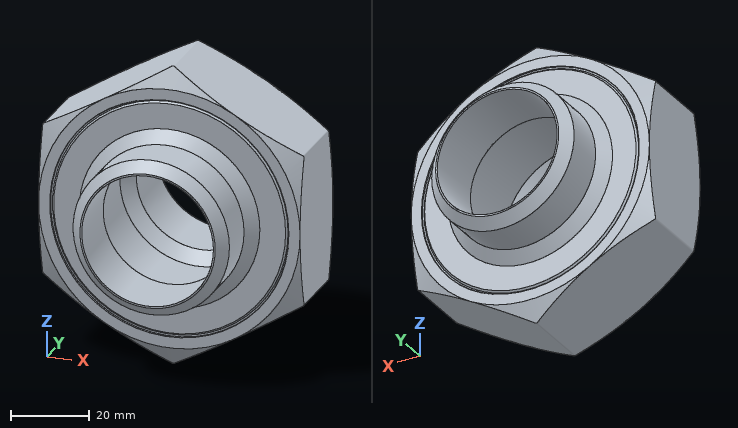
import cadquery as cq
import math


total_length = 59.0
front_y = -total_length / 2
rear_y = total_length / 2

across_flats = 71.0
across_corners = 81.8
nut_front_y = front_y + 16.85
nut_rear_y = rear_y - 16.6
nut_chamfer_angle = 30.0
nut_bore_radius = 65.0 / 2

bore_radius = 35.8 / 2
pipe_radius = 42.5 / 2
shoulder_radius = 49.0 / 2
bevel = 2.9
front_pipe_length = 14.15
rear_pipe_length = 13.7
shoulder_length = 2.95
flange_gap = 0.5
flange_radius = nut_bore_radius - flange_gap
flange_chamfer = 0.5

chamber_radius = 42.4 / 2
chamber_cone_length = chamber_radius - bore_radius
chamber_front_y = -12.85
chamber_rear_y = -chamber_front_y


def revolve_about_y(points):
    """Revolve a closed outline of (radius, y) points about the Y axis."""
    return cq.Workplane("XY").polyline(points).close().revolve(360, (0, 0), (0, 1))


def make_nut():
    """Hexagon with corners along Z, rounded edges and chamfered faces."""
    sharp_corners = across_flats / math.cos(math.radians(30))
    corner_loss = (sharp_corners - across_corners) / 2
    edge_radius = corner_loss / (1 / math.cos(math.radians(30)) - 1)
    hexagon = (
        cq.Workplane("XZ", origin=(0, nut_rear_y, 0))
        .transformed(rotate=(0, 0, 90))
        .polygon(6, sharp_corners)
        .extrude(nut_rear_y - nut_front_y)
        .edges("|Y")
        .fillet(edge_radius)
    )
    face_radius = across_flats / 2
    rim_radius = sharp_corners / 2
    drop = (rim_radius - face_radius) * math.tan(math.radians(nut_chamfer_angle))
    envelope = revolve_about_y([
        (0, nut_front_y),
        (face_radius, nut_front_y),
        (rim_radius, nut_front_y + drop),
        (rim_radius, nut_rear_y - drop),
        (face_radius, nut_rear_y),
        (0, nut_rear_y),
    ])
    return hexagon.intersect(envelope)


def end_profile(end_y, pipe_length, inward):
    """Outline of one weld end, from its tip to its flange face."""
    pipe_y = end_y + inward * pipe_length
    return [
        (0, end_y),
        (pipe_radius - bevel, end_y),
        (pipe_radius, end_y + inward * bevel),
        (pipe_radius, pipe_y),
        (shoulder_radius, pipe_y + inward * shoulder_length),
    ]


def make_recess(end_y, pipe_length, nut_face_y, inward):
    """Space between nut and flange, opening at one nut face."""
    flange_y = end_y + inward * (pipe_length + shoulder_length)
    floor_y = flange_y + inward * flange_chamfer
    return revolve_about_y([
        (0, nut_face_y),
        (nut_bore_radius, nut_face_y),
        (nut_bore_radius, floor_y),
        (flange_radius, floor_y),
        (flange_radius - flange_chamfer, flange_y),
        (0, flange_y),
    ])


def make_bore():
    """Through bore widened into the chamber at mid-length."""
    return revolve_about_y([
        (0, front_y),
        (bore_radius, front_y),
        (bore_radius, chamber_front_y),
        (chamber_radius, chamber_front_y + chamber_cone_length),
        (chamber_radius, chamber_rear_y - chamber_cone_length),
        (bore_radius, chamber_rear_y),
        (bore_radius, rear_y),
        (0, rear_y),
    ])


front_profile = end_profile(front_y, front_pipe_length, 1)
rear_profile = end_profile(rear_y, rear_pipe_length, -1)
weld_ends = revolve_about_y(front_profile + rear_profile[::-1])

result = (
    make_nut()
    .cut(make_recess(front_y, front_pipe_length, nut_front_y, 1))
    .cut(make_recess(rear_y, rear_pipe_length, nut_rear_y, -1))
    .union(weld_ends)
    .cut(make_bore())
)